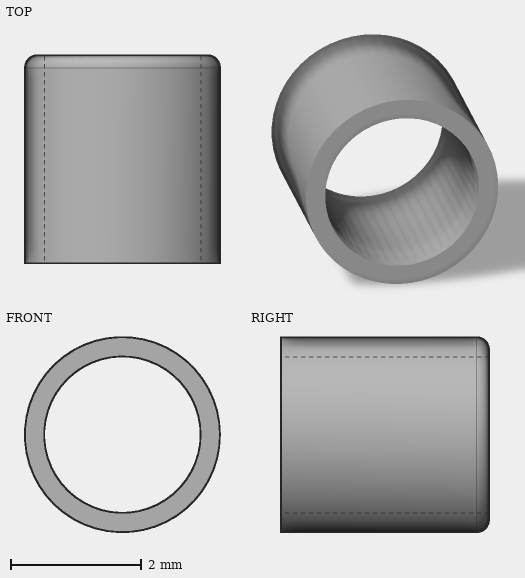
import cadquery as cq

length = 3.2
outer_diameter = 3.0
bore_diameter = 2.4
end_radius = 0.2

tube = (
    cq.Workplane("XZ")
    .circle(outer_diameter / 2)
    .circle(bore_diameter / 2)
    .extrude(-length)
)

outer_rim = cq.selectors.RadiusNthSelector(-1)
result = tube.faces(">Y").edges(outer_rim).fillet(end_radius)